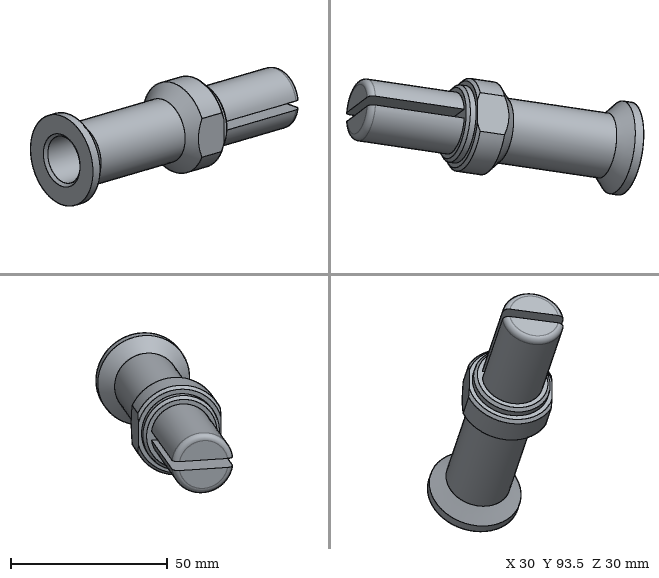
import cadquery as cq
import math

TOTAL_LENGTH = 93.5

FLANGE_RADIUS = 15.0
FLANGE_THICKNESS = 3.0
SLEEVE_RADIUS = 10.5
SLEEVE_END = 43.5

COLLAR_RADIUS = 15.0
COLLAR_END = 57.5
COLLAR_CHAMFER = 1.0
ACROSS_FLATS = 27.0

RING_RADIUS = 12.5
RING_WIDTH = 3.0
RING_CHAMFER = 1.0

PIN_RADIUS = 10.0
PIN_EDGE_RADIUS = 2.0
SLOT_WIDTH = 3.0

BORE_RADIUS = 7.75
BORE_CHAMFER = 1.0
BORE_DEPTH = 40.0
DRILL_TIP_ANGLE = 120.0

FLANGE_CONE_END = FLANGE_THICKNESS + FLANGE_RADIUS - SLEEVE_RADIUS
COLLAR_START = SLEEVE_END + COLLAR_RADIUS - SLEEVE_RADIUS
RING_END = COLLAR_END + RING_WIDTH
PIN_LENGTH = TOTAL_LENGTH - RING_END


def revolve_about_y(profile):
    return profile.close().revolve(360, (0, 0, 0), (0, 1, 0))


def turned_body():
    arc_offset = PIN_EDGE_RADIUS * (1 - math.sqrt(0.5))
    profile = (
        cq.Workplane("XY")
        .moveTo(0, 0)
        .lineTo(FLANGE_RADIUS, 0)
        .lineTo(FLANGE_RADIUS, FLANGE_THICKNESS)
        .lineTo(SLEEVE_RADIUS, FLANGE_CONE_END)
        .lineTo(SLEEVE_RADIUS, SLEEVE_END)
        .lineTo(COLLAR_RADIUS, COLLAR_START)
        .lineTo(COLLAR_RADIUS, COLLAR_END - COLLAR_CHAMFER)
        .lineTo(COLLAR_RADIUS - COLLAR_CHAMFER, COLLAR_END)
        .lineTo(RING_RADIUS, COLLAR_END)
        .lineTo(RING_RADIUS, RING_END - RING_CHAMFER)
        .lineTo(RING_RADIUS - RING_CHAMFER, RING_END)
        .lineTo(PIN_RADIUS, RING_END)
        .lineTo(PIN_RADIUS, TOTAL_LENGTH - PIN_EDGE_RADIUS)
        .threePointArc(
            (PIN_RADIUS - arc_offset, TOTAL_LENGTH - arc_offset),
            (PIN_RADIUS - PIN_EDGE_RADIUS, TOTAL_LENGTH),
        )
        .lineTo(0, TOTAL_LENGTH)
    )
    return revolve_about_y(profile)


def bore():
    tip_length = BORE_RADIUS / math.tan(math.radians(DRILL_TIP_ANGLE / 2))
    profile = (
        cq.Workplane("XY")
        .moveTo(0, 0)
        .lineTo(BORE_RADIUS + BORE_CHAMFER, 0)
        .lineTo(BORE_RADIUS, BORE_CHAMFER)
        .lineTo(BORE_RADIUS, BORE_DEPTH)
        .lineTo(0, BORE_DEPTH + tip_length)
    )
    return revolve_about_y(profile)


def pin_slot():
    return (
        cq.Workplane("XY")
        .box(2 * PIN_RADIUS, PIN_LENGTH, SLOT_WIDTH)
        .translate((0, RING_END + PIN_LENGTH / 2, 0))
    )


def wrench_flat(side):
    cut_depth = COLLAR_RADIUS - ACROSS_FLATS / 2
    cut_length = COLLAR_END - SLEEVE_END
    return (
        cq.Workplane("XY")
        .box(cut_depth, cut_length, 2 * COLLAR_RADIUS)
        .translate((side * (ACROSS_FLATS + cut_depth) / 2, SLEEVE_END + cut_length / 2, 0))
    )


result = turned_body().cut(bore()).cut(pin_slot())
for side in (-1, 1):
    result = result.cut(wrench_flat(side))